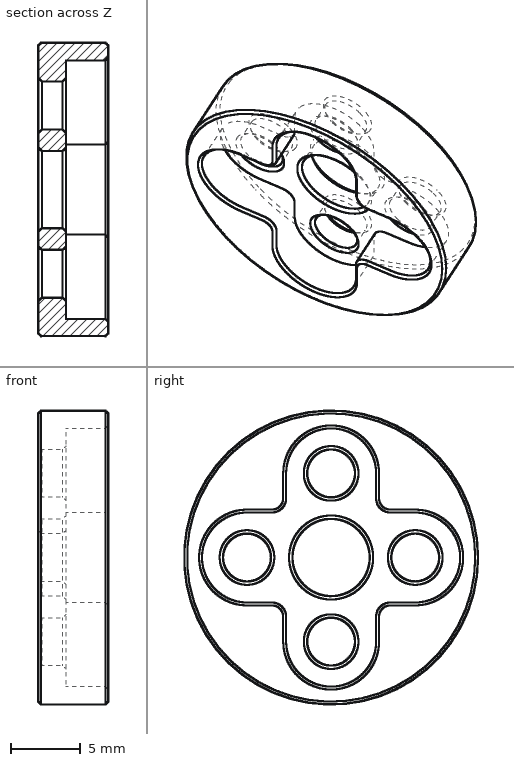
import cadquery as cq

disc_diameter = 21.0
thickness = 5.0
rim_chamfer = 0.2

center_diameter = 5.5
bolt_diameter = 3.4
bolt_circle_radius = 6.0
bolt_count = 4
hole_chamfer = 0.25

floor_thickness = 2.0
pocket_depth = thickness - floor_thickness
arm_width = 6.43
arm_length = 2 * bolt_circle_radius + arm_width
corner_radius = 1.0
pocket_chamfer = 0.2


def make_disc():
    """Disc along X, centred on the origin, with both rims chamfered."""
    outer_face = cq.Workplane("YZ").workplane(offset=-thickness / 2)
    disc = outer_face.circle(disc_diameter / 2).extrude(thickness)
    return disc.edges().chamfer(rim_chamfer)


def make_hole_cutter(diameter):
    """Hole along X through the floor, with a 45 degree chamfer at each side of the floor."""
    radius = diameter / 2
    mouth_radius = radius + hole_chamfer
    outer_face = -thickness / 2
    pocket_floor = outer_face + floor_thickness
    return (
        cq.Workplane("XY")
        .moveTo(outer_face, 0)
        .lineTo(outer_face, mouth_radius)
        .lineTo(outer_face + hole_chamfer, radius)
        .lineTo(pocket_floor - hole_chamfer, radius)
        .lineTo(pocket_floor, mouth_radius)
        .lineTo(pocket_floor, 0)
        .close()
        .revolve(360, (0, 0, 0), (1, 0, 0))
    )


def make_pocket_cutter():
    """Crossed round-ended slots along Y and Z, with rounded inner corners and a flared mouth."""
    floor = cq.Workplane("YZ").workplane(offset=floor_thickness - thickness / 2)
    arm_y = floor.slot2D(arm_length, arm_width, 0).extrude(pocket_depth)
    arm_z = floor.slot2D(arm_length, arm_width, 90).extrude(pocket_depth)
    box_reach = arm_width / 2 + corner_radius / 2
    inner_corners = cq.selectors.BoxSelector(
        (-thickness, -box_reach, -box_reach),
        (thickness, box_reach, box_reach),
    )
    cross = arm_y.union(arm_z)
    cross = cross.edges("|X").edges(inner_corners).fillet(corner_radius)
    flare_start = cross.faces(">X").wires().translate((-pocket_chamfer, 0, 0))
    flare = (
        cq.Workplane("YZ")
        .workplane(offset=thickness / 2 - pocket_chamfer)
        .add(flare_start.vals())
        .toPending()
        .extrude(pocket_chamfer, taper=-45)
    )
    return cross.union(flare)


result = make_disc().cut(make_pocket_cutter())
result = result.cut(make_hole_cutter(center_diameter))

bolt_cutter = make_hole_cutter(bolt_diameter).translate((0, 0, bolt_circle_radius))
for index in range(bolt_count):
    angle = index * 360 / bolt_count
    result = result.cut(bolt_cutter.rotate((0, 0, 0), (1, 0, 0), angle))